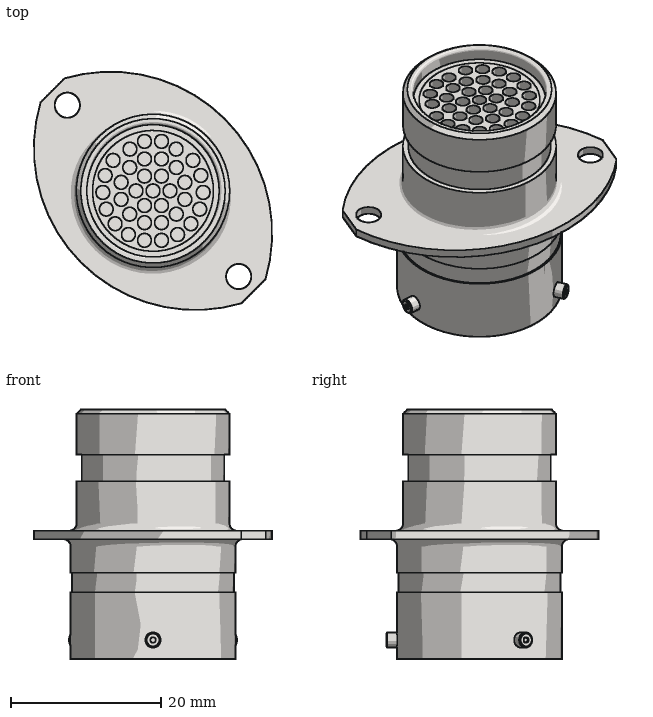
import cadquery as cq
import math

height = 33.3
head_bottom = 27.28
neck_bottom = 23.75
flange_top = 17.15
flange_bottom = 16.0
band_top = 11.53
band_bottom = 8.95

upper_radius = 10.23
neck_radius = 9.53
lower_radius = 11.03
band_radius = 10.83
mouth_radius = 8.83

rim_chamfer = 0.6
mouth_fillet = 0.4
flange_fillet = 0.93

flange_width = 31.8
arc_center_offset = 5.65
arc_radius = flange_width / 2 + arc_center_offset
flange_half_length = 18.95
mounting_hole_radius = 1.65
mounting_hole_offset = 11.43
lens_axis_angle = 135.0

insert_radius = 8.05
insert_top = 31.48

contact_diameter = 1.83
contact_depth = 3.33
inner_ring_radius = 2.25
inner_ring_count = 6
middle_ring_radius = 4.4
middle_ring_count = 12
outer_ring_radius = 6.7
outer_ring_step = 19.6
outer_run_count = 7
inset_pair_spacing = 6.15
inset_pair_y = 5.55

pin_angles = [30, 150, 270]
pin_diameter = 2.03
pin_height = 2.55
pin_tip = 12.45
pin_seat = 9.65
pin_chamfer = 0.15
dimple_radius = 0.35
dimple_depth = 0.25


def make_barrel():
    """Turned outer form of the shell, without the flange."""
    profile = (
        cq.Workplane("XZ")
        .moveTo(0, 0)
        .lineTo(lower_radius, 0)
        .lineTo(lower_radius, band_bottom)
        .lineTo(band_radius, band_bottom)
        .lineTo(band_radius, band_top)
        .lineTo(lower_radius, band_top)
        .lineTo(lower_radius, flange_bottom)
        .lineTo(upper_radius, flange_bottom)
        .lineTo(upper_radius, neck_bottom)
        .lineTo(neck_radius, neck_bottom)
        .lineTo(neck_radius, head_bottom)
        .lineTo(upper_radius, head_bottom)
        .lineTo(upper_radius, height - rim_chamfer)
        .lineTo(upper_radius - rim_chamfer, height)
        .lineTo(0, height)
        .close()
    )
    return profile.revolve(360, (0, 0, 0), (0, 1, 0))


def make_flange():
    """Lens-shaped mounting plate, without its holes."""
    thickness = flange_top - flange_bottom

    def flange_plane(offset):
        """Underside plane of the flange, shifted equally along X and Y."""
        return cq.Workplane("XY", origin=(offset, offset, flange_bottom))

    lower_left_disc = flange_plane(arc_center_offset).circle(arc_radius).extrude(thickness)
    upper_right_disc = flange_plane(-arc_center_offset).circle(arc_radius).extrude(thickness)
    square_ends = (
        flange_plane(0)
        .transformed(rotate=(0, 0, lens_axis_angle))
        .rect(2 * flange_half_length, 2 * arc_radius)
        .extrude(thickness)
    )
    return lower_left_disc.intersect(upper_right_disc).intersect(square_ends)


def make_flange_fillets():
    """Concave rings that blend the barrel into both faces of the flange."""

    def fillet_ring(radius, face_height, direction):
        """Fillet that rises (direction 1) or falls (direction -1) from a flange face."""
        inner = radius - flange_fillet
        outer = radius + flange_fillet
        end_height = face_height + direction * flange_fillet
        sag = flange_fillet * (1 - math.sqrt(0.5))
        return (
            cq.Workplane("XZ")
            .moveTo(inner, face_height)
            .lineTo(outer, face_height)
            .threePointArc((radius + sag, face_height + direction * sag), (radius, end_height))
            .lineTo(inner, end_height)
            .close()
            .revolve(360, (0, 0, 0), (0, 1, 0))
        )

    return fillet_ring(upper_radius, flange_top, 1).union(fillet_ring(lower_radius, flange_bottom, -1))


def cut_mouth(shell):
    """Open the rounded mouth at the top and the bore that holds the insert."""
    mouth = (
        cq.Workplane("XY", origin=(0, 0, insert_top))
        .circle(mouth_radius)
        .extrude(height - insert_top)
    )
    bore = cq.Workplane("XY").circle(insert_radius).extrude(height)
    opened = shell.cut(mouth).cut(bore)
    mouth_edge = cq.selectors.RadiusNthSelector(0)
    return opened.faces(">Z").edges(mouth_edge).fillet(mouth_fillet)


def cut_mounting_holes(shell):
    """Drill one hole near each end of the flange."""
    holes = (
        cq.Workplane("XY", origin=(0, 0, flange_bottom))
        .pushPoints([
            (-mounting_hole_offset, mounting_hole_offset),
            (mounting_hole_offset, -mounting_hole_offset),
        ])
        .circle(mounting_hole_radius)
        .extrude(flange_top - flange_bottom)
    )
    return shell.cut(holes)


def pin_blank(angle):
    """Plain cylinder along a pin's radial axis, from its seat to its tip."""
    return (
        cq.Workplane("YZ", origin=(pin_seat, 0, pin_height))
        .circle(pin_diameter / 2)
        .extrude(pin_tip - pin_seat)
        .rotate((0, 0, 0), (0, 0, 1), angle)
    )


def make_shell():
    """Barrel and flange in one piece, with seats for the insert and the pins."""
    shell = make_barrel().union(make_flange()).union(make_flange_fillets())
    shell = cut_mounting_holes(cut_mouth(shell))
    for angle in pin_angles:
        shell = shell.cut(pin_blank(angle))
    return shell


def polar_point(radius, degrees):
    """Point at a radius and angle about the centre."""
    return (radius * math.cos(math.radians(degrees)), radius * math.sin(math.radians(degrees)))


def contact_points():
    """Centres of the contact holes: one in the middle and three rings around it."""
    points = [(0, 0)]
    inner_step = 360 / inner_ring_count
    middle_step = 360 / middle_ring_count
    points += [polar_point(inner_ring_radius, i * inner_step) for i in range(inner_ring_count)]
    points += [polar_point(middle_ring_radius, (i + 0.5) * middle_step) for i in range(middle_ring_count)]

    run_angles = [(i + 0.5) * outer_ring_step - 90 for i in range(outer_run_count)]
    outer_angles = run_angles + [90 - outer_ring_step / 2]
    right_half = [polar_point(outer_ring_radius, angle) for angle in outer_angles]
    right_half.append((inset_pair_spacing / 2, inset_pair_y))
    points += right_half
    points += [(-x, y) for x, y in right_half]
    return points


def make_insert():
    """Round block that fills the bore, with blind contact holes in its top face."""
    block = cq.Workplane("XY").circle(insert_radius).extrude(insert_top)
    holes = (
        cq.Workplane("XY", origin=(0, 0, insert_top - contact_depth))
        .pushPoints(contact_points())
        .circle(contact_diameter / 2)
        .extrude(contact_depth)
    )
    return block.cut(holes)


def make_pin(angle):
    """Bayonet pin with a chamfered tip and a small dimple in its end."""
    dimple = (
        cq.Workplane("YZ", origin=(pin_tip - dimple_depth, 0, pin_height))
        .circle(dimple_radius)
        .extrude(dimple_depth)
    )
    pin = pin_blank(0).faces(">X").chamfer(pin_chamfer).cut(dimple)
    return pin.rotate((0, 0, 0), (0, 0, 1), angle)


shell = make_shell()
insert = make_insert()
pins = [make_pin(angle).val() for angle in pin_angles]

result = cq.Compound.makeCompound([shell.val(), insert.val(), *pins])